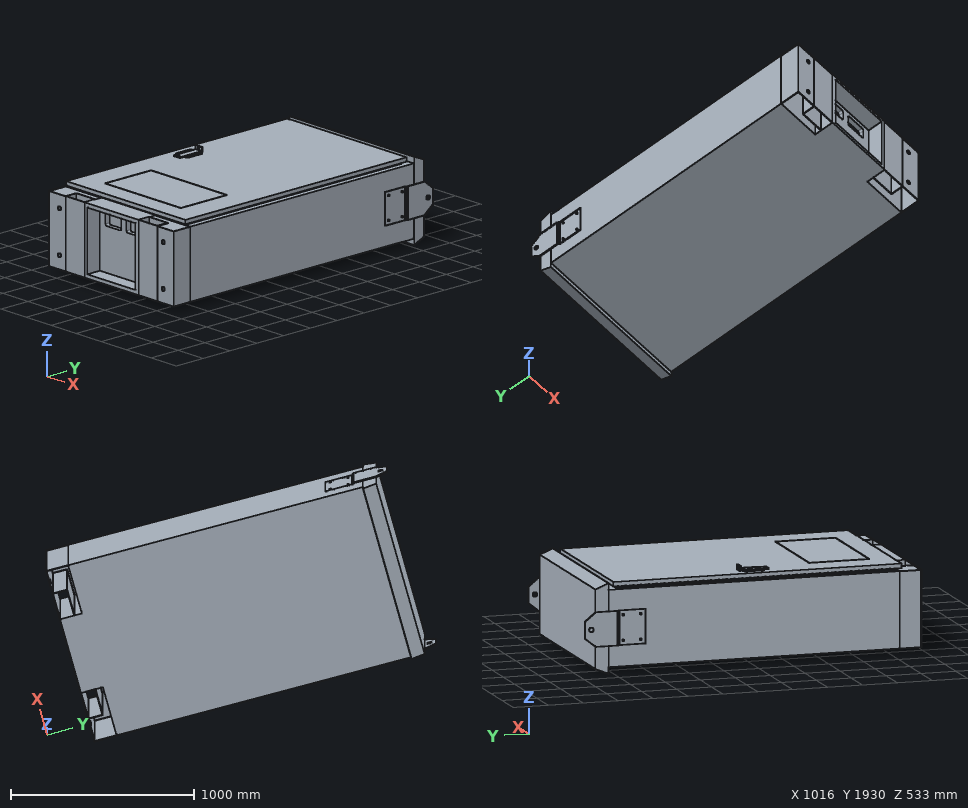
import cadquery as cq

cabinet_width = 1000.0
cabinet_height = 432.0
plinth_depth = 125.0
half_width = cabinet_width / 2
mid_height = cabinet_height / 2

body_step = 1.0
body_half_width = half_width - body_step
body_top = cabinet_height - body_step

roof_front = 1793.0
roof_back = 1869.0
roof_overhang = 37.0
roof_slope_drop = 30.0

rim_width = 919.0
rim_height = 12.0
rim_front = plinth_depth
rim_back = 1737.0

sheet = 3.0
pocket_inner_x = 216.0
pocket_outer_x = 365.0
pocket_back = 81.0
bolt_hole_x = 415.0
bolt_hole_offset = 134.2
bolt_hole_diameter = 23.0

recess_frame = 25.0
recess_half_width = pocket_inner_x - recess_frame
recess_depth = 95.0
cable_window_inner_x = 21.0
cable_window_width = 125.0
cable_window_bottom = 293.0
cable_window_height = 81.0
cable_window_radius = 12.0

door_width = 955.0
door_thickness = 25.0
door_front = 108.0
door_back = 1759.0
door_bottom = cabinet_height + rim_height
door_top = door_bottom + door_thickness
panel_width = 606.0
panel_front = 237.0
panel_back = 581.0
panel_depth = 2.0

handle_x = -378.0
handle_base_width = 100.0
handle_base_front = 875.0
handle_base_back = 995.0
handle_base_radius = 15.0
handle_base_thickness = 2.0
lever_thickness = 5.0
handle_opening_width = 62.0
handle_opening_margin = 10.0
handle_opening_radius = 10.0
lever_width = 50.0
lever_front = 844.0
lever_back = 1012.0
tab_thickness = 8.0
tab_height = 27.0
tab_hole_diameter = 15.0
tab_hole_height = 14.5
lock_hole_diameter = 12.0
lock_hole_from_end = 12.0

lug_thickness = 5.0
lug_outer_face = 508.0
lug_width = 193.0
lug_tip_width = 95.0
lug_end = 1930.0
lug_bend_outer = 1743.0
lug_bend_inner = 1730.0
lug_foot_end = 1581.0
lug_eye_diameter = 25.0
lug_eye_from_end = 37.0
lug_screw_rows = (1608.0, 1708.0)
lug_screw_offset = 71.0
lug_screw_diameter = 10.0

SIDES = (-1, 1)


def block(x_range, y_range, z_range):
    """Box spanning the given X, Y and Z ranges."""
    x0, x1 = sorted(x_range)
    y0, y1 = y_range
    z0, z1 = z_range
    return cq.Workplane("XY").box(x1 - x0, y1 - y0, z1 - z0, centered=False).translate((x0, y0, z0))


def centered_block(width, y_range, z_range):
    """Box symmetric about the YZ plane."""
    return block((-width / 2, width / 2), y_range, z_range)


def make_roof():
    roof_bottom = -roof_overhang
    roof_top = cabinet_height + roof_overhang
    outline = [
        (roof_front, roof_bottom),
        (roof_front, roof_top),
        (roof_back, roof_top - roof_slope_drop),
        (roof_back, roof_bottom + roof_slope_drop),
    ]
    return cq.Workplane("YZ").polyline(outline).close().extrude(half_width, both=True)


def make_plinth():
    """Sheet-metal plinth, hollow and open underneath, around a solid center block and lined pockets."""
    plinth = centered_block(cabinet_width, (0, plinth_depth), (0, cabinet_height))
    cavity_width = cabinet_width - 2 * sheet
    plinth = plinth.cut(centered_block(cavity_width, (sheet, plinth_depth), (0, cabinet_height - sheet)))
    plinth = plinth.union(centered_block(2 * pocket_inner_x, (0, plinth_depth), (0, cabinet_height)))
    for side in SIDES:
        plinth = plinth.union(fork_pocket(side, sheet))
        plinth = plinth.cut(fork_pocket(side, 0))
    return cut_cable_recess(cut_bolt_holes(plinth))


def fork_pocket(side, wall):
    """Vertical fork passage, grown sideways by a wall thickness."""
    x_range = (side * (pocket_inner_x - wall), side * (pocket_outer_x + wall))
    return block(x_range, (sheet - wall, pocket_back + wall), (0, cabinet_height))


def cut_bolt_holes(plinth):
    centers = [
        (side * bolt_hole_x, mid_height + level * bolt_hole_offset) for side in SIDES for level in SIDES
    ]
    holes = (
        cq.Workplane("XZ").pushPoints(centers).circle(bolt_hole_diameter / 2).extrude(-sheet)
    )
    return plinth.cut(holes)


def cut_cable_recess(plinth):
    """Central recess open to the front, with two rounded windows in its back wall."""
    recess_z = (recess_frame, cabinet_height - recess_frame)
    recess = centered_block(2 * recess_half_width, (0, recess_depth), recess_z)
    window_x = cable_window_inner_x + cable_window_width / 2
    window_z = cable_window_bottom + cable_window_height / 2
    windows = (
        cq.Workplane("XZ", origin=(0, recess_depth, 0))
        .pushPoints([(side * window_x, window_z) for side in SIDES])
        .rect(cable_window_width, cable_window_height)
        .extrude(recess_depth - plinth_depth)
        .edges("|Y")
        .fillet(cable_window_radius)
    )
    return plinth.cut(recess).cut(windows)


def make_cabinet():
    shell = centered_block(2 * body_half_width, (plinth_depth, roof_front), (0, body_top))
    rim = centered_block(rim_width, (rim_front, rim_back), (body_top, door_bottom))
    cabinet = shell.union(rim).union(make_roof()).union(make_plinth())
    for side in SIDES:
        cabinet = cabinet.cut(lug_plate(side))
    return cabinet


def make_door():
    door = centered_block(door_width, (door_front, door_back), (door_bottom, door_top))
    panel = centered_block(panel_width, (panel_front, panel_back), (door_top - panel_depth, door_top))
    return door.cut(panel)


def make_handle():
    base_length = handle_base_back - handle_base_front
    base_y = (handle_base_front + handle_base_back) / 2
    opening_length = base_length - 2 * handle_opening_margin
    base_plane = cq.Workplane("XY", origin=(handle_x, base_y, door_top))
    base = base_plane.rect(handle_base_width, base_length).extrude(handle_base_thickness)
    base = base.edges("|Z").fillet(handle_base_radius)
    opening = base_plane.rect(handle_opening_width, opening_length).extrude(handle_base_thickness)
    opening = opening.edges("|Z").fillet(handle_opening_radius)

    lever_x = (handle_x - lever_width / 2, handle_x + lever_width / 2)
    lever = block(lever_x, (lever_front, lever_back), (door_top, door_top + lever_thickness))
    tab = block(lever_x, (lever_back - tab_thickness, lever_back), (door_top, door_top + tab_height))

    lock_hole = (
        cq.Workplane("XY", origin=(handle_x, lever_front + lock_hole_from_end, door_top))
        .circle(lock_hole_diameter / 2)
        .extrude(lever_thickness)
    )
    tab_hole = (
        cq.Workplane("XZ", origin=(handle_x, lever_back, door_top + tab_hole_height))
        .circle(tab_hole_diameter / 2)
        .extrude(tab_thickness)
    )
    return base.cut(opening).union(lever).union(tab).cut(lock_hole).cut(tab_hole)


def lug_plate(side):
    """Joggled plate with a tapered end, before drilling; side is -1 or +1 along X."""
    tongue_back = lug_outer_face - lug_thickness
    foot_back = body_half_width - lug_thickness
    section = [
        (side * tongue_back, lug_end),
        (side * lug_outer_face, lug_end),
        (side * lug_outer_face, lug_bend_outer),
        (side * body_half_width, lug_bend_inner),
        (side * body_half_width, lug_foot_end),
        (side * foot_back, lug_foot_end),
        (side * foot_back, lug_bend_inner),
        (side * tongue_back, lug_bend_outer),
    ]
    joggled = cq.Workplane("XY").polyline(section).close().extrude(lug_width)
    joggled = joggled.translate((0, 0, mid_height - lug_width / 2))
    outline = [
        (lug_foot_end, mid_height - lug_width / 2),
        (roof_back, mid_height - lug_width / 2),
        (lug_end, mid_height - lug_tip_width / 2),
        (lug_end, mid_height + lug_tip_width / 2),
        (roof_back, mid_height + lug_width / 2),
        (lug_foot_end, mid_height + lug_width / 2),
    ]
    return joggled.intersect(cq.Workplane("YZ").polyline(outline).close().extrude(side * lug_outer_face))


def make_lug(side):
    screws = [
        (y, mid_height + level * lug_screw_offset) for y in lug_screw_rows for level in SIDES
    ]
    reach = side * lug_outer_face
    eye = (
        cq.Workplane("YZ")
        .center(lug_end - lug_eye_from_end, mid_height)
        .circle(lug_eye_diameter / 2)
        .extrude(reach)
    )
    screw_holes = cq.Workplane("YZ").pushPoints(screws).circle(lug_screw_diameter / 2).extrude(reach)
    return lug_plate(side).cut(eye).cut(screw_holes)


lugs = [make_lug(side) for side in SIDES]
cabinet = make_cabinet()
door = make_door()
handle = make_handle()

result = cq.Compound.makeCompound([cabinet.val(), door.val(), handle.val(), *[lug.val() for lug in lugs]])